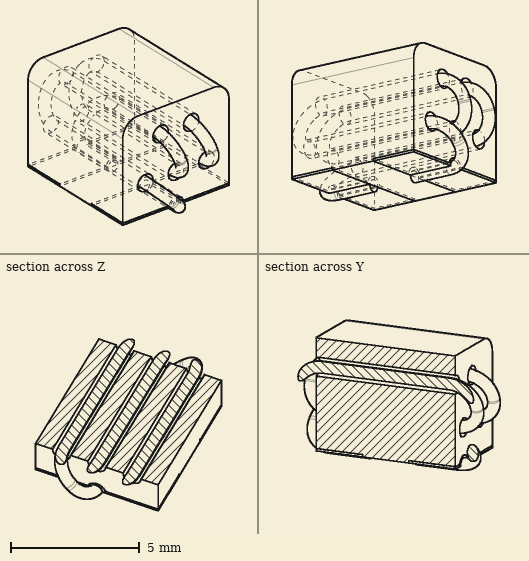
import cadquery as cq
import math

core_length = 6.0
core_width = 5.25
core_height = 4.6
top_edge_radius = 0.75

hole_diameter = 0.75
hole_pitch = 1.5
lower_row_height = 1.5
upper_row_height = 3.42

overall_length = 8.0
wire_diameter = 0.5
wire_radius = wire_diameter / 2
bend_radius = 1.0
loop_reach = overall_length / 2 - wire_radius
bend_start = loop_reach - bend_radius

pad_length = 2.0
pad_thickness = 0.1
saddle_radius = hole_diameter / 2
foot_end = core_length / 2 - pad_length

foot_run = (0.0, 0.0)
hole_runs = [
    (hole_pitch, lower_row_height),
    (hole_pitch / 2, upper_row_height),
    (0.0, lower_row_height),
    (-hole_pitch / 2, upper_row_height),
    (-hole_pitch, lower_row_height),
]


def x_cylinder(radius, x_start, length, center):
    """Solid cylinder along +X, centred on a (Y, Z) position."""
    return cq.Workplane("YZ", origin=(x_start, *center)).circle(radius).extrude(length)


def make_pad_blank(side):
    """Flat pad with a half-round saddle on top, before the wire groove is cut."""
    x_start = min(side * foot_end, side * core_length / 2)
    plate = cq.Workplane("XY").box(pad_length, core_width, pad_thickness, centered=(False, True, False))
    saddle = (
        cq.Workplane("YZ")
        .moveTo(-saddle_radius, 0)
        .threePointArc((0, saddle_radius), (saddle_radius, 0))
        .close()
        .extrude(pad_length)
    )
    return plate.union(saddle).translate((x_start, 0, 0))


def make_core():
    """Block with rounded top edges, winding holes and pad recesses."""
    block = cq.Workplane("XY").box(core_length, core_width, core_height, centered=(True, True, False))
    block = block.edges("|X and >Z").fillet(top_edge_radius)
    for center in hole_runs:
        block = block.cut(x_cylinder(hole_diameter / 2, -core_length / 2, core_length, center))
    for side in (-1, 1):
        block = block.cut(make_pad_blank(side))
    return block


def loop_edges(side, start, end):
    """Two quarter bends and a short straight that join two wire runs outside the core."""
    span_y = end[0] - start[0]
    span_z = end[1] - start[1]
    span = math.hypot(span_y, span_z)

    def point(reach, along):
        fraction = along / span
        x = side * (bend_start + reach)
        return cq.Vector(x, start[0] + fraction * span_y, start[1] + fraction * span_z)

    arc_reach = bend_radius * math.sin(math.pi / 4)
    arc_along = bend_radius - arc_reach
    bend_out_end = point(bend_radius, bend_radius)
    bend_in_start = point(bend_radius, span - bend_radius)
    return [
        cq.Edge.makeThreePointArc(point(0, 0), point(arc_reach, arc_along), bend_out_end),
        cq.Edge.makeLine(bend_out_end, bend_in_start),
        cq.Edge.makeThreePointArc(bend_in_start, point(arc_reach, span - arc_along), point(0, span)),
    ]


def make_winding():
    """One continuous round wire from the foot at -X to the foot at +X."""
    runs = [foot_run, *hole_runs, foot_run]
    side = -1
    position = cq.Vector(-foot_end, *foot_run)
    edges = []
    for start, end in zip(runs, runs[1:]):
        edges.append(cq.Edge.makeLine(position, cq.Vector(side * bend_start, *start)))
        edges += loop_edges(side, start, end)
        position = cq.Vector(side * bend_start, *end)
        side = -side
    edges.append(cq.Edge.makeLine(position, cq.Vector(foot_end, *foot_run)))
    path = cq.Wire.assembleEdges(edges)
    profile = cq.Workplane("YZ", origin=(-foot_end, *foot_run)).circle(wire_radius)
    return profile.sweep(cq.Workplane(path), transition="round")


def make_pad(side, wire):
    """Terminal pad whose saddle fits around the wire foot and the start of its bend."""
    return make_pad_blank(side).cut(wire)


core = make_core()
winding = make_winding()
pads = [make_pad(side, winding) for side in (-1, 1)]

bodies = [core, winding, *pads]
result = cq.Compound.makeCompound([body.solids().val() for body in bodies])